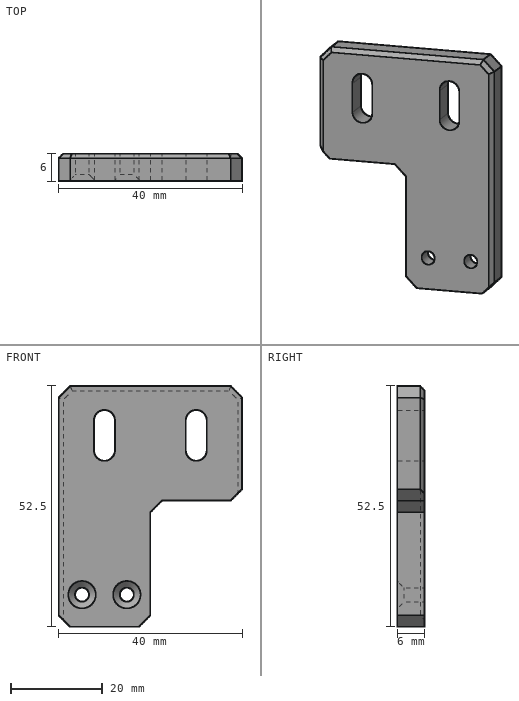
import cadquery as cq

width = 40.0
height = 52.5
thickness = 6.0
leg_width = width / 2
head_height = 25.0
corner_cut = 2.5
back_chamfer = 1.0

slot_width = 4.5
slot_length = 11.0
slot_drop = 10.75
slot_positions = (width / 4, width * 3 / 4)

hole_diameter = 3.0
sink_diameter = 6.0
sink_angle = 90
hole_height = 7.05
hole_spacing = 9.75
hole_middle = leg_width / 2

head_bottom = height - head_height


def front_plane(x, z):
    """Sketch plane on the front face, with its normal pointing out of the plate."""
    return cq.Workplane("XZ", origin=(x, 0, z))


def make_plate():
    """L-shaped plate with cut corners and the back rim chamfered along its sides and top only."""
    outline = [
        (corner_cut, 0),
        (leg_width - corner_cut, 0),
        (leg_width, corner_cut),
        (leg_width, head_bottom - corner_cut),
        (leg_width + corner_cut, head_bottom),
        (width - corner_cut, head_bottom),
        (width, head_bottom + corner_cut),
        (width, height - corner_cut),
        (width - corner_cut, height),
        (corner_cut, height),
        (0, height - corner_cut),
        (0, corner_cut),
    ]
    plate = front_plane(0, 0).polyline(outline).close().extrude(-thickness)
    back_rim = plate.faces(">Y").edges()
    sides = back_rim.edges("<X or >X")
    top_band = back_rim.edges(
        cq.selectors.BoxSelector((0, 0, height - corner_cut), (width, 2 * thickness, 2 * height))
    )
    return sides.add(top_band).chamfer(back_chamfer)


def make_slot(x):
    """Through slot, upright, centred at x."""
    return front_plane(x, height - slot_drop).slot2D(slot_length, slot_width, 90).extrude(-thickness)


result = make_plate()

for x in slot_positions:
    result = result.cut(make_slot(x))

for side in (-1, 1):
    x = hole_middle + side * hole_spacing / 2
    result = result.copyWorkplane(front_plane(x, hole_height)).cskHole(
        hole_diameter, sink_diameter, sink_angle
    )